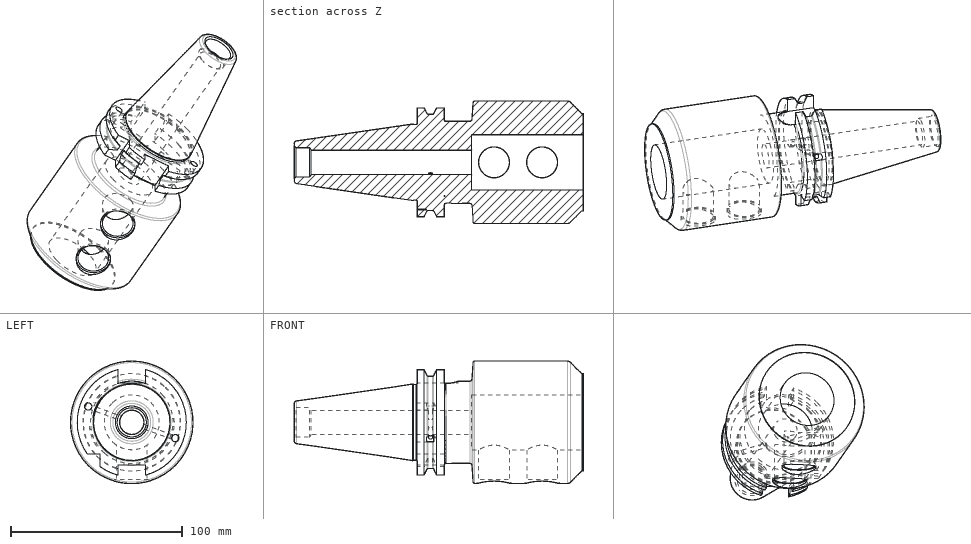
import cadquery as cq
import math


DRILL_POINT_ANGLE = 118
SELECTION_SLACK = 0.05

TAIL_LENGTH = 68.4
TAPER_RATIO = 7 / 24
TAPER_END = 0.6
TAPER_END_DIAMETER = 44.8
TAIL_DIAMETER = TAPER_END_DIAMETER - TAPER_RATIO * (TAIL_LENGTH + TAPER_END)
TAIL_FILLET = 1.5
RELIEF_DIAMETER = 44.25
RELIEF_START = 1.2
RELIEF_FILLET = 0.7

FLANGE_START = 3.2
FLANGE_END = 19.1
FLANGE_DIAMETER = 63.55
GROOVE_CENTER = 10.9
GROOVE_DIAMETER = 56.25
GROOVE_TOP_WIDTH = 7.2
GROOVE_WALL_ANGLE = 27
GROOVE_FILLET = 0.6
FLANGE_ROOT_FILLET = 0.8

KEYWAY_WIDTH = 16.1
TOP_KEYWAY_FLOOR = 22.8
BOTTOM_KEYWAY_FLOOR = 25.0
KEYWAY_ARC_CENTER = FLANGE_END
NOTCH_OFFSET = 18.5

COOLANT_DIAMETER = 4.2
COOLANT_CIRCLE_RADIUS = 27.0
COOLANT_ANGLE = 20
COOLANT_END = 12.8
CROSS_HOLE_DIAMETER = 2.5
CROSS_HOLE_POSITION = 11.0

NECK_DIAMETER = 48.0
NECK_FILLET = 1.2
HEAD_DIAMETER = 71.5
HEAD_START = 35.0
HEAD_RIM = 35.8
HEAD_RIM_FILLET = 1.0
NOSE_END = 100.0
NOSE_DIAMETER = 56.8
NOSE_LAND = 0.8
NOSE_CONE_END = NOSE_END - NOSE_LAND
NOSE_CONE_START = NOSE_CONE_END - (HEAD_DIAMETER - NOSE_DIAMETER) / 2
NOSE_SHOULDER_FILLET = 2.5

THROUGH_DIAMETER = 14.0
TAIL_BORE_DIAMETER = 17.0
TAIL_BORE_DEPTH = 9.0
TAIL_BORE_CHAMFER = 1.0
TOOL_BORE_DIAMETER = 32.0
TOOL_BORE_DEPTH = 65.0

SCREW_DIAMETER = 17.84
SCREW_MOUTH_DIAMETER = 20.0
SCREW_MOUTH_DEPTH = 2.5
SCREW_POSITIONS = (48.0, 76.0)


def turned(stations):
    """Solid of revolution about the X axis through (x, diameter) stations."""
    profile = cq.Workplane("XY").moveTo(stations[0][0], 0)
    for x, diameter in stations:
        profile = profile.lineTo(x, diameter / 2)
    if stations[-1][1] > 0:
        profile = profile.lineTo(stations[-1][0], 0)
    return profile.close().revolve(360, (0, 0, 0), (1, 0, 0))


def drill_point_length(diameter, end_diameter=0):
    """Axial length of a drill point narrowing between two diameters."""
    return (diameter - end_diameter) / 2 / math.tan(math.radians(DRILL_POINT_ANGLE / 2))


def block(x_range, y_range, z_range):
    """Axis-aligned box between the given limits."""
    lows, highs = zip(x_range, y_range, z_range)
    sizes = [high - low for low, high in zip(lows, highs)]
    return cq.Workplane("XY").box(*sizes, centered=False).translate(lows)


def edge_circle(body, x, diameter):
    """Circular edge of the body at one station along the axis."""
    reach = diameter / 2 + SELECTION_SLACK
    low = (x - SELECTION_SLACK, -reach, -reach)
    high = (x + SELECTION_SLACK, reach, reach)
    return body.edges(cq.selectors.BoxSelector(low, high, boundingbox=True))


def make_turned_body():
    groove_depth = (FLANGE_DIAMETER - GROOVE_DIAMETER) / 2
    half_top = GROOVE_TOP_WIDTH / 2
    half_floor = half_top - groove_depth * math.tan(math.radians(GROOVE_WALL_ANGLE))
    stations = [
        (-TAIL_LENGTH, TAIL_DIAMETER),
        (TAPER_END, TAPER_END_DIAMETER),
        (RELIEF_START, RELIEF_DIAMETER),
        (FLANGE_START, RELIEF_DIAMETER),
        (FLANGE_START, FLANGE_DIAMETER),
        (GROOVE_CENTER - half_top, FLANGE_DIAMETER),
        (GROOVE_CENTER - half_floor, GROOVE_DIAMETER),
        (GROOVE_CENTER + half_floor, GROOVE_DIAMETER),
        (GROOVE_CENTER + half_top, FLANGE_DIAMETER),
        (FLANGE_END, FLANGE_DIAMETER),
        (FLANGE_END, NECK_DIAMETER),
        (HEAD_START, NECK_DIAMETER),
        (HEAD_RIM, HEAD_DIAMETER),
        (NOSE_CONE_START, HEAD_DIAMETER),
        (NOSE_CONE_END, NOSE_DIAMETER),
        (NOSE_END, NOSE_DIAMETER),
    ]
    body = turned(stations)

    rounded_edges = [
        (-TAIL_LENGTH, TAIL_DIAMETER, TAIL_FILLET),
        (FLANGE_START, RELIEF_DIAMETER, RELIEF_FILLET),
        (GROOVE_CENTER - half_floor, GROOVE_DIAMETER, GROOVE_FILLET),
        (GROOVE_CENTER + half_floor, GROOVE_DIAMETER, GROOVE_FILLET),
        (FLANGE_END, NECK_DIAMETER, FLANGE_ROOT_FILLET),
        (HEAD_START, NECK_DIAMETER, NECK_FILLET),
        (HEAD_RIM, HEAD_DIAMETER, HEAD_RIM_FILLET),
        (NOSE_CONE_START, HEAD_DIAMETER, NOSE_SHOULDER_FILLET),
    ]
    for x, diameter, radius in rounded_edges:
        body = edge_circle(body, x, diameter).fillet(radius)
    return body


def make_keyway(floor):
    """Slot open toward the taper, with a round end, above the given floor height."""
    half_width = KEYWAY_WIDTH / 2
    return (
        cq.Workplane("XY", origin=(0, 0, floor))
        .moveTo(FLANGE_START, -half_width)
        .lineTo(KEYWAY_ARC_CENTER, -half_width)
        .threePointArc((KEYWAY_ARC_CENTER + half_width, 0), (KEYWAY_ARC_CENTER, half_width))
        .lineTo(FLANGE_START, half_width)
        .close()
        .extrude(FLANGE_DIAMETER / 2 - floor)
    )


def make_notch():
    """Square-cornered orientation notch on the +Y, -Z side of the flange."""
    rim = FLANGE_DIAMETER / 2
    return block((FLANGE_START, FLANGE_END), (NOTCH_OFFSET, rim), (-rim, -NOTCH_OFFSET))


def make_coolant_hole(angle):
    """Blind axial hole with a drill point, joined to the central bore by a radial hole."""
    stations = [
        (FLANGE_START, COOLANT_DIAMETER),
        (COOLANT_END, COOLANT_DIAMETER),
        (COOLANT_END + drill_point_length(COOLANT_DIAMETER), 0),
    ]
    hole = turned(stations).translate((0, COOLANT_CIRCLE_RADIUS, 0))
    cross_hole = (
        cq.Workplane("XZ", origin=(CROSS_HOLE_POSITION, 0, 0))
        .circle(CROSS_HOLE_DIAMETER / 2)
        .extrude(-COOLANT_CIRCLE_RADIUS)
    )
    hole = hole.union(cross_hole)
    return hole.rotate((0, 0, 0), (1, 0, 0), angle)


def make_axial_bores():
    """Countersunk tail bore, through bore and tool bore as one turned cutter."""
    tail_bore_end = TAIL_BORE_DEPTH - TAIL_LENGTH
    tool_bore_floor = NOSE_END - TOOL_BORE_DEPTH
    stations = [
        (-TAIL_LENGTH, TAIL_BORE_DIAMETER + 2 * TAIL_BORE_CHAMFER),
        (TAIL_BORE_CHAMFER - TAIL_LENGTH, TAIL_BORE_DIAMETER),
        (tail_bore_end, TAIL_BORE_DIAMETER),
        (tail_bore_end + drill_point_length(TAIL_BORE_DIAMETER, THROUGH_DIAMETER), THROUGH_DIAMETER),
        (tool_bore_floor, THROUGH_DIAMETER),
        (tool_bore_floor, TOOL_BORE_DIAMETER),
        (NOSE_END, TOOL_BORE_DIAMETER),
    ]
    return turned(stations)


def make_screw_hole(x):
    """Radial clamping-screw hole with a wider mouth, from the -Z side into the tool bore."""
    rim = -HEAD_DIAMETER / 2
    shaft = cq.Workplane("XY", origin=(x, 0, 0)).circle(SCREW_DIAMETER / 2).extrude(rim)
    mouth = cq.Workplane("XY", origin=(x, 0, rim)).circle(SCREW_MOUTH_DIAMETER / 2).extrude(SCREW_MOUTH_DEPTH)
    return shaft.union(mouth)


result = make_turned_body()
result = result.cut(make_keyway(TOP_KEYWAY_FLOOR))
result = result.cut(make_keyway(BOTTOM_KEYWAY_FLOOR).rotate((0, 0, 0), (1, 0, 0), 180))
result = result.cut(make_notch())
for angle in (COOLANT_ANGLE, COOLANT_ANGLE + 180):
    result = result.cut(make_coolant_hole(angle))
result = result.cut(make_axial_bores())
for x in SCREW_POSITIONS:
    result = result.cut(make_screw_hole(x))